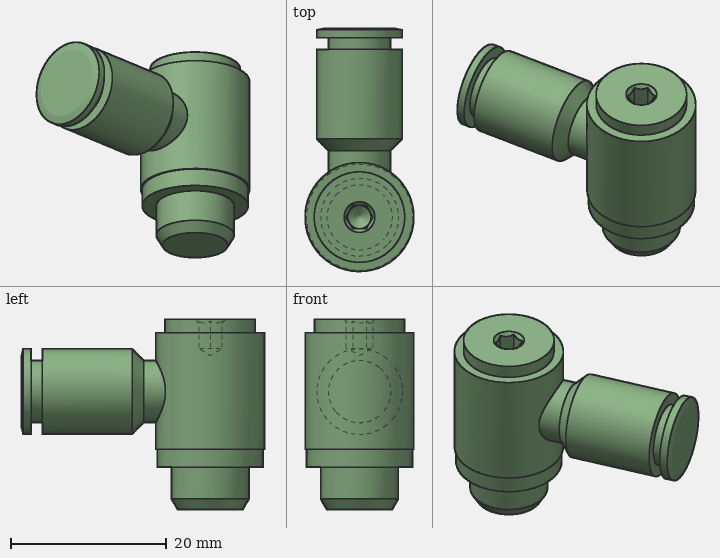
import cadquery as cq
import math

tip_radius = 4.2
thread_radius = 5.0
collar_radius = 6.82
body_radius = 7.0
cap_radius = 5.82
tip_top = 1.38
thread_top = 5.48
collar_top = 7.75
body_top = 22.8
total_height = 24.5

arm_height = 15.2
arm_radius = 5.5
neck_radius = 4.0
overall_depth = 31.3
arm_end = overall_depth - body_radius
neck_end = 8.55
cone_end = 10.05
sleeve_end = 21.57
flange_start = 23.05
flange_bevel_length = 0.22
flange_face_radius = 4.48

hex_flats = 3.0
socket_depth = 3.75
countersink_radius = 1.97
drill_point_angle = 118.0


def make_body():
    """Stepped column with a tapered lower tip."""
    profile = [
        (0, 0),
        (tip_radius, 0),
        (thread_radius, tip_top),
        (thread_radius, thread_top),
        (collar_radius, thread_top),
        (collar_radius, collar_top),
        (body_radius, collar_top),
        (body_radius, body_top),
        (cap_radius, body_top),
        (cap_radius, total_height),
        (0, total_height),
    ]
    return cq.Workplane("XZ").polyline(profile).close().revolve(360, (0, 0), (0, 1))


def make_arm():
    """Tube sleeve with a conical shoulder and a release flange."""
    profile = [
        (0, 0),
        (neck_radius, 0),
        (neck_radius, neck_end),
        (arm_radius, cone_end),
        (arm_radius, sleeve_end),
        (neck_radius, sleeve_end),
        (neck_radius, flange_start),
        (arm_radius, flange_start),
        (arm_radius, arm_end - flange_bevel_length),
        (flange_face_radius, arm_end),
        (0, arm_end),
    ]
    arm = cq.Workplane("XY").polyline(profile).close().revolve(360, (0, 0), (0, 1))
    return arm.translate((0, 0, arm_height))


def make_socket():
    """Hexagonal hole with a 45 degree countersink and a conical drill point."""
    hex_corners = hex_flats / math.cos(math.pi / 6)
    socket_floor = total_height - socket_depth
    hexagon = (
        cq.Workplane("XY")
        .workplane(offset=socket_floor)
        .polygon(6, hex_corners)
        .extrude(socket_depth)
    )
    drill_radius = hex_flats / 2
    point_length = drill_radius / math.tan(math.radians(drill_point_angle / 2))
    drill_point = cq.Solid.makeCone(
        drill_radius, 0, point_length, cq.Vector(0, 0, socket_floor), cq.Vector(0, 0, -1)
    )
    countersink = cq.Solid.makeCone(
        countersink_radius, 0, countersink_radius, cq.Vector(0, 0, total_height), cq.Vector(0, 0, -1)
    )
    return hexagon.union(cq.Workplane(drill_point)).union(cq.Workplane(countersink))


result = make_body().union(make_arm()).cut(make_socket())